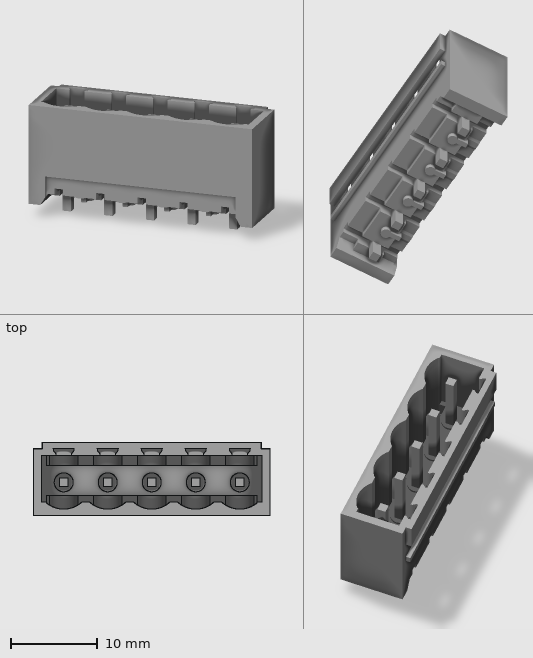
import cadquery as cq
import math

LENGTH = 27.3
DEPTH = 7.73
HEIGHT = 11.98

PIN_COUNT = 5
PITCH = 5.08
PIN_SIZE = 1.0
PIN_Y = 3.82
PIN_TOP = 10.97
PIN_BOTTOM = -1.53
COLLAR_RADIUS = 1.1
COLLAR_HEIGHT = 0.25
PIN_XS = [(i - (PIN_COUNT - 1) / 2) * PITCH for i in range(PIN_COUNT)]
GAP_XS = [(a + b) / 2 for a, b in zip(PIN_XS, PIN_XS[1:])]

LATCH_LENGTH = 25.28
LATCH_DEPTH = 0.7
LATCH_HEIGHT = 3.1
REAR_RIB_DEPTH = 0.55
REAR_RIB_BOTTOM = 5.9
REAR_RIB_TOP = 6.63

CAVITY_LENGTH = 25.4
CAVITY_FRONT = 1.55
CAVITY_BACK = 6.9
FLOOR_TOP = 3.52
SCALLOP_RADIUS = 3.08

TROUGH_LENGTH = 24.25
BAR_FRONT = 2.32
BAR_BACK = 5.75
TROUGH_FLOOR = 1.85
HUMP_HALF_WIDTH = 1.65
HUMP_ARC_HALF_WIDTH = 1.23
HUMP_FLANK_ANGLE = 60.0

SLOT_BOTTOM = 7.92
SLOT_MOUTH = 1.8
SLOT_WIDTH = 2.38
SLOT_NECK_Y = 7.13
SLOT_FLARE_Y = 7.48

FOOT_OPENING_HALF = 12.23
FOOT_SLOPE = 0.58
BAR_BOTTOM = 0.57
SKIRT_BOTTOM = 1.28
NOTCH_TOP = 2.02
RECESS_LENGTH = 23.25
RECESS_DEPTH = 0.5
PAD_DROP = 0.15
PAD_BOTTOM_WIDTH = 0.7
PAD_TOP_WIDTH = 1.36
WEB_WIDTH = 0.6
WEB_BOTTOM = 0.22
WEB_FRONT = 1.9
PEG_RADIUS = 0.6


def box(x_size, y0, y1, z0, z1, x=0.0):
    """Box centred on x, given its extents along y and z."""
    block = cq.Workplane("XY").box(x_size, y1 - y0, z1 - z0, centered=(True, False, False))
    return block.translate((x, y0, z0))


def xz_prism(outline, y0, y1, x=0.0):
    """Closed outline in the XZ plane, extruded from y0 to y1."""
    return outline.close().extrude(y0 - y1).translate((x, y0, 0))


def shell():
    body = box(LENGTH, 0, DEPTH, 0, HEIGHT)
    body = body.union(box(LATCH_LENGTH, DEPTH, DEPTH + LATCH_DEPTH, HEIGHT - LATCH_HEIGHT, HEIGHT))
    return body.union(box(LATCH_LENGTH, DEPTH, DEPTH + REAR_RIB_DEPTH, REAR_RIB_BOTTOM, REAR_RIB_TOP))


def scallops(bottom):
    """Front part of a round well about each pin, between the trough ends."""
    well = cq.Workplane("XY").circle(SCALLOP_RADIUS).extrude(HEIGHT - bottom)
    wells = cq.Workplane("XY")
    for x in PIN_XS:
        wells = wells.union(well.translate((x, PIN_Y, bottom)))
    return wells.intersect(box(TROUGH_LENGTH, 0, BAR_FRONT, bottom, HEIGHT))


def hump(x, y0, y1):
    """Round-topped ridge across a trough, with flat flanks tangent to its arc."""
    angle = math.radians(HUMP_FLANK_ANGLE)
    shoulder = TROUGH_FLOOR + (HUMP_HALF_WIDTH - HUMP_ARC_HALF_WIDTH) * math.tan(angle)
    crown = shoulder + HUMP_ARC_HALF_WIDTH * math.tan(angle / 2)
    outline = (
        cq.Workplane("XZ")
        .moveTo(-HUMP_HALF_WIDTH, TROUGH_FLOOR)
        .lineTo(-HUMP_ARC_HALF_WIDTH, shoulder)
        .threePointArc((0, crown), (HUMP_ARC_HALF_WIDTH, shoulder))
        .lineTo(HUMP_HALF_WIDTH, TROUGH_FLOOR)
    )
    return xz_prism(outline, y0, y1, x)


def cavity():
    hollow = box(CAVITY_LENGTH, CAVITY_FRONT, CAVITY_BACK, FLOOR_TOP, HEIGHT)
    troughs = scallops(TROUGH_FLOOR)
    troughs = troughs.union(box(TROUGH_LENGTH, CAVITY_FRONT, BAR_FRONT, TROUGH_FLOOR, FLOOR_TOP))
    troughs = troughs.union(box(TROUGH_LENGTH, BAR_BACK, CAVITY_BACK, TROUGH_FLOOR, FLOOR_TOP))
    for x in PIN_XS:
        troughs = troughs.cut(hump(x, 0, BAR_FRONT)).cut(hump(x, BAR_BACK, CAVITY_BACK))
    return hollow.union(troughs)


def dovetail_slots():
    mouth = SLOT_MOUTH / 2
    back = SLOT_WIDTH / 2
    right_side = [(mouth, CAVITY_BACK), (mouth, SLOT_NECK_Y), (back, SLOT_FLARE_Y), (back, DEPTH)]
    left_side = [(-x, y) for x, y in reversed(right_side)]
    slot = cq.Workplane("XY").polyline(right_side + left_side).close().extrude(HEIGHT - SLOT_BOTTOM)
    slots = cq.Workplane("XY")
    for x in PIN_XS:
        slots = slots.union(slot.translate((x, 0, SLOT_BOTTOM)))
    return slots


def foot_opening(top, y0, y1):
    """Gap between the sloping inner sides of the two end feet."""
    upper_half = FOOT_OPENING_HALF - FOOT_SLOPE * top
    outline = cq.Workplane("XZ").polyline(
        [(-FOOT_OPENING_HALF, 0), (-upper_half, top), (upper_half, top), (FOOT_OPENING_HALF, 0)]
    )
    return xz_prism(outline, y0, y1)


def underside():
    """Everything removed below the floor bar, the skirts and the front face."""
    cut = foot_opening(BAR_BOTTOM, 0, DEPTH)
    cut = cut.union(box(RECESS_LENGTH, 0, RECESS_DEPTH, 0, FLOOR_TOP))
    for y0, y1 in ((0, BAR_FRONT), (BAR_BACK, DEPTH)):
        cut = cut.union(foot_opening(SKIRT_BOTTOM, y0, y1))
    for x in PIN_XS:
        cut = cut.union(box(PIN_SIZE, 0, DEPTH, 0, NOTCH_TOP, x))
    return cut


def standoff(x):
    """Peg under the bar, with a web and a shallow pad leading to the front."""
    pad_outline = cq.Workplane("XZ").polyline([
        (-PAD_TOP_WIDTH / 2, SKIRT_BOTTOM),
        (-PAD_BOTTOM_WIDTH / 2, SKIRT_BOTTOM - PAD_DROP),
        (PAD_BOTTOM_WIDTH / 2, SKIRT_BOTTOM - PAD_DROP),
        (PAD_TOP_WIDTH / 2, SKIRT_BOTTOM),
    ])
    pad = xz_prism(pad_outline, RECESS_DEPTH, BAR_FRONT, x)
    web = box(WEB_WIDTH, WEB_FRONT, PIN_Y, WEB_BOTTOM, SKIRT_BOTTOM, x)
    peg = cq.Workplane("XY").center(x, PIN_Y).circle(PEG_RADIUS).extrude(BAR_BOTTOM)
    return pad.union(web).union(peg)


def contact(x):
    """Square pin through the bar, with a low round collar at its root."""
    half = PIN_SIZE / 2
    pin = box(PIN_SIZE, PIN_Y - half, PIN_Y + half, PIN_BOTTOM, PIN_TOP, x)
    collar = cq.Workplane("XY", origin=(x, PIN_Y, FLOOR_TOP)).circle(COLLAR_RADIUS).extrude(COLLAR_HEIGHT)
    return pin.union(collar)


result = shell().cut(cavity()).cut(dovetail_slots()).cut(underside())
for gap_x in GAP_XS:
    result = result.union(standoff(gap_x))
for pin_x in PIN_XS:
    result = result.union(contact(pin_x))